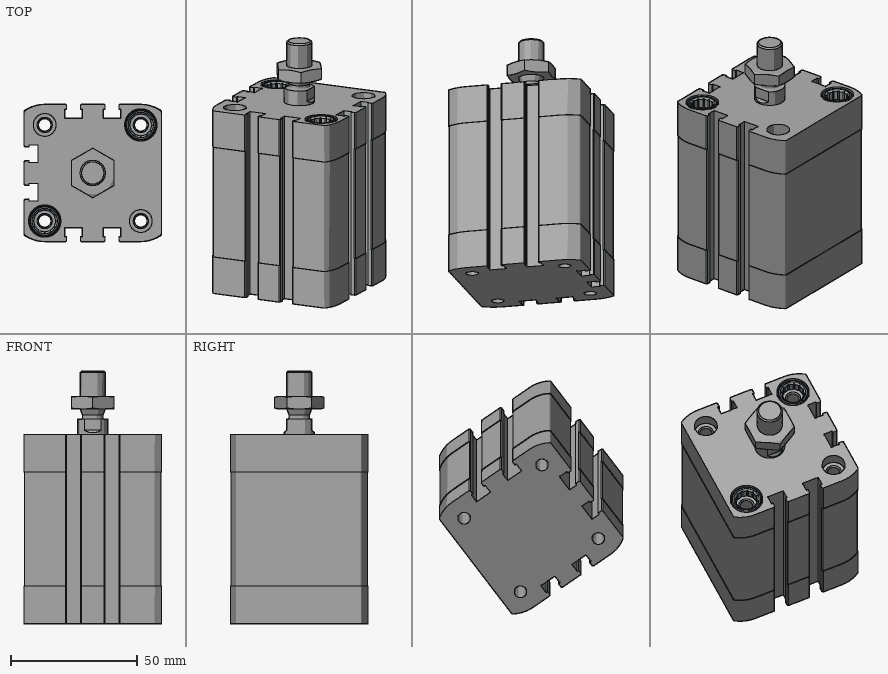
import cadquery as cq
import math

HOUSING_WIDTH = 54.5
HOUSING_HEIGHT = 75.1
CAP_HEIGHT = 15.0
BARREL_INSET = 0.2
CORNER_ARC_RADIUS = 14.5
CORNER_ARC_START = 18.9
CAP_EDGE_RADIUS = 0.8
BARREL_EDGE_RADIUS = 1.1

SLOT_SPACING = 15.2
SLOT_MOUTH_WIDTH = 5.4
SLOT_INNER_WIDTH = 6.8
SLOT_LIP_DEPTH = 2.0
SLOT_DEPTH = 5.5
SLOT_EDGE_CHAMFER = 0.4

HOLE_OFFSET = 19.0
THROUGH_DIAMETER = 4.9
COUNTERSINK_DIAMETER = 6.0
COUNTERSINK_DEPTH = (COUNTERSINK_DIAMETER - THROUGH_DIAMETER) / 2
COUNTERBORE_DIAMETER = 9.0
COUNTERBORE_DEPTH = 5.0

HEAD_RECESS_DIAMETER = 12.8
HEAD_DIAMETER = 12.0
HEAD_TOP_DEPTH = 0.2
HEAD_GAP_DEPTH = 5.0
HEAD_CHAMFER = 0.4
SOCKET_MOUTH_DIAMETER = 10.0
SOCKET_CREST_DIAMETER = 8.5
SOCKET_POINT_DIAMETER = 9.2
SOCKET_SQUARES = 3
SOCKET_DEPTH = 4.5

ROD_DIAMETER = 12.0
THREAD_DIAMETER = 10.0
NECK_DIAMETER = 8.2
ROD_SHOULDER_Z = 81.1
NECK_FILLET = 0.5
NECK_TOP_Z = 82.7
ROD_TOP_Z = 100.1
ROD_TIP_CHAMFER = 0.6
FLATS_WIDTH = 10.0
FLATS_BOTTOM_Z = 76.7
FLATS_RUNOUT_ANGLE = 45.0

NUT_WIDTH = 17.0
NUT_HEIGHT = 5.0
NUT_BOTTOM_Z = 85.1
NUT_CORNER_DROP = 0.4


def body_block(inset, edge_radius, bottom_z, height):
    """Square block whose four corners are rounded by arcs tangent to the +Y and -Y faces."""
    half = HOUSING_WIDTH / 2 - inset
    radius = CORNER_ARC_RADIUS - inset
    centre_y = half - radius

    def on_arc(run):
        return centre_y + math.sqrt(radius**2 - run**2)

    run = half - CORNER_ARC_START
    corner_y = on_arc(run)
    middle_x = CORNER_ARC_START + run / 2
    middle_y = on_arc(run / 2)
    return (
        cq.Workplane("XY", origin=(0, 0, bottom_z))
        .moveTo(-CORNER_ARC_START, half)
        .lineTo(CORNER_ARC_START, half)
        .threePointArc((middle_x, middle_y), (half, corner_y))
        .lineTo(half, -corner_y)
        .threePointArc((middle_x, -middle_y), (CORNER_ARC_START, -half))
        .lineTo(-CORNER_ARC_START, -half)
        .threePointArc((-middle_x, -middle_y), (-half, -corner_y))
        .lineTo(-half, corner_y)
        .threePointArc((-middle_x, middle_y), (-CORNER_ARC_START, half))
        .close()
        .extrude(height)
        .edges("|Z and (>X or <X)")
        .fillet(edge_radius)
    )


def slot_cutter(inset):
    """Full-height T-slot centred on X = 0, its edge chamfers starting at a -Y face moved in by inset."""
    outer_y = -HOUSING_WIDTH / 2
    face_y = outer_y + inset
    half_mouth = SLOT_MOUTH_WIDTH / 2
    half_inner = SLOT_INNER_WIDTH / 2
    right_side = [
        (half_mouth + SLOT_EDGE_CHAMFER, face_y),
        (half_mouth, face_y + SLOT_EDGE_CHAMFER),
        (half_mouth, outer_y + SLOT_LIP_DEPTH),
        (half_inner, outer_y + SLOT_LIP_DEPTH),
        (half_inner, outer_y + SLOT_DEPTH),
    ]
    left_side = [(-x, y) for x, y in reversed(right_side)]
    return cq.Workplane("XY").polyline(right_side + left_side).close().extrude(HOUSING_HEIGHT)


def slot_pair(inset, turn):
    """Two T-slots in the face reached by turning the -Y face about Z."""
    pair = cq.Workplane("XY")
    for x in (-SLOT_SPACING / 2, SLOT_SPACING / 2):
        pair = pair.add(slot_cutter(inset).translate((x, 0, 0)))
    return pair.combine().rotate((0, 0, 0), (0, 0, 1), turn)


def cylinder(diameter, bottom_z, top_z):
    return cq.Workplane("XY", origin=(0, 0, bottom_z)).circle(diameter / 2).extrude(top_z - bottom_z)


def cone(bottom_diameter, top_diameter, bottom_z, top_z):
    return cq.Workplane(
        cq.Solid.makeCone(bottom_diameter / 2, top_diameter / 2, top_z - bottom_z, cq.Vector(0, 0, bottom_z))
    )


def countersunk_through_hole(floor_z):
    countersink = cone(THROUGH_DIAMETER, COUNTERSINK_DIAMETER, floor_z - COUNTERSINK_DEPTH, floor_z)
    return cylinder(THROUGH_DIAMETER, 0, floor_z).union(countersink)


def counterbored_hole():
    floor_z = HOUSING_HEIGHT - COUNTERBORE_DEPTH
    counterbore = cylinder(COUNTERBORE_DIAMETER, floor_z, HOUSING_HEIGHT)
    return countersunk_through_hole(floor_z).union(counterbore)


def splined_socket(floor_z, top_z):
    """Twelve-point socket: three turned squares, with the teeth between the points cut to a circle."""
    socket = cylinder(SOCKET_CREST_DIAMETER, floor_z, top_z)
    for index in range(SOCKET_SQUARES):
        square = (
            cq.Workplane("XY", origin=(0, 0, floor_z))
            .polygon(4, SOCKET_POINT_DIAMETER)
            .extrude(top_z - floor_z)
            .rotate((0, 0, 0), (0, 0, 1), index * 90 / SOCKET_SQUARES)
        )
        socket = socket.union(square)
    return socket


def screw_head_hole():
    """Everything cut away around and inside one hollow screw head."""
    head_top_z = HOUSING_HEIGHT - HEAD_TOP_DEPTH
    floor_z = HOUSING_HEIGHT - SOCKET_DEPTH
    gap_z = HOUSING_HEIGHT - HEAD_GAP_DEPTH
    mouth_depth = (SOCKET_MOUTH_DIAMETER - SOCKET_CREST_DIAMETER) / 2
    head = cylinder(HEAD_DIAMETER, gap_z, head_top_z).faces(">Z").chamfer(HEAD_CHAMFER)
    recess = cylinder(HEAD_RECESS_DIAMETER, gap_z, HOUSING_HEIGHT).cut(head)
    mouth = cone(SOCKET_CREST_DIAMETER, SOCKET_MOUTH_DIAMETER, head_top_z - mouth_depth, head_top_z)
    socket = splined_socket(floor_z, head_top_z - mouth_depth / 2).union(mouth)
    return recess.union(socket).union(countersunk_through_hole(floor_z))


def slotted_block(inset, edge_radius, bottom_z, height):
    block = body_block(inset, edge_radius, bottom_z, height)
    for turn in (0, 180, -90):
        block = block.cut(slot_pair(inset, turn))
    return block


def make_housing():
    barrel_height = HOUSING_HEIGHT - 2 * CAP_HEIGHT
    housing = slotted_block(0, CAP_EDGE_RADIUS, 0, CAP_HEIGHT)
    housing = housing.union(slotted_block(BARREL_INSET, BARREL_EDGE_RADIUS, CAP_HEIGHT, barrel_height))
    housing = housing.union(slotted_block(0, CAP_EDGE_RADIUS, HOUSING_HEIGHT - CAP_HEIGHT, CAP_HEIGHT))

    for side in (-1, 1):
        offset = side * HOLE_OFFSET
        housing = housing.cut(screw_head_hole().translate((offset, offset, 0)))
        housing = housing.cut(counterbored_hole().translate((offset, -offset, 0)))
    return housing


def flat_cutter():
    """Removes the -Y side of the rod down to one wrench flat, with a sloping run-out below."""
    flat_y = -FLATS_WIDTH / 2
    outer_y = -ROD_DIAMETER / 2
    runout_drop = (flat_y - outer_y) * math.tan(math.radians(FLATS_RUNOUT_ANGLE))
    return (
        cq.Workplane("YZ")
        .moveTo(flat_y, FLATS_BOTTOM_Z)
        .lineTo(flat_y, ROD_SHOULDER_Z)
        .lineTo(outer_y, ROD_SHOULDER_Z)
        .lineTo(outer_y, FLATS_BOTTOM_Z - runout_drop)
        .close()
        .extrude(ROD_DIAMETER / 2, both=True)
    )


def make_rod():
    """Rod standing on the housing, with an undercut neck, a threaded end and two wrench flats."""
    neck_radius = NECK_DIAMETER / 2
    thread_radius = THREAD_DIAMETER / 2
    fillet_middle = NECK_FILLET * (1 - math.sqrt(0.5))
    rod = (
        cq.Workplane("XZ")
        .moveTo(0, HOUSING_HEIGHT)
        .lineTo(ROD_DIAMETER / 2, HOUSING_HEIGHT)
        .lineTo(ROD_DIAMETER / 2, ROD_SHOULDER_Z)
        .lineTo(neck_radius + NECK_FILLET, ROD_SHOULDER_Z)
        .threePointArc(
            (neck_radius + fillet_middle, ROD_SHOULDER_Z + fillet_middle),
            (neck_radius, ROD_SHOULDER_Z + NECK_FILLET),
        )
        .lineTo(neck_radius, NECK_TOP_Z)
        .lineTo(thread_radius, NUT_BOTTOM_Z)
        .lineTo(thread_radius, ROD_TOP_Z - ROD_TIP_CHAMFER)
        .lineTo(thread_radius - ROD_TIP_CHAMFER, ROD_TOP_Z)
        .lineTo(0, ROD_TOP_Z)
        .close()
        .revolve(360, (0, 0, 0), (0, 1, 0))
    )
    for turn in (0, 180):
        rod = rod.cut(flat_cutter().rotate((0, 0, 0), (0, 0, 1), turn))
    return rod


def make_nut():
    """Hexagon nut with corners on the Y axis, its corners cut back by a cone at both ends."""
    hex_half_angle = 30
    corner_diameter = NUT_WIDTH / math.cos(math.radians(hex_half_angle))
    half_height = NUT_HEIGHT / 2
    corner_radius = corner_diameter / 2
    corner_half_height = half_height - NUT_CORNER_DROP
    hexagon = (
        cq.Workplane("XY")
        .polygon(6, corner_diameter)
        .extrude(half_height, both=True)
        .rotate((0, 0, 0), (0, 0, 1), hex_half_angle)
    )
    double_cone = (
        cq.Workplane("XZ")
        .polyline([
            (0, -half_height),
            (NUT_WIDTH / 2, -half_height),
            (corner_radius, -corner_half_height),
            (corner_radius, corner_half_height),
            (NUT_WIDTH / 2, half_height),
            (0, half_height),
        ])
        .close()
        .revolve(360, (0, 0, 0), (0, 1, 0))
    )
    bore = cylinder(THREAD_DIAMETER, -half_height, half_height)
    return hexagon.intersect(double_cone).cut(bore).translate((0, 0, NUT_BOTTOM_Z + half_height))


housing = make_housing()
rod = make_rod()
nut = make_nut()

result = cq.Compound.makeCompound([housing.val(), rod.val(), nut.val()])